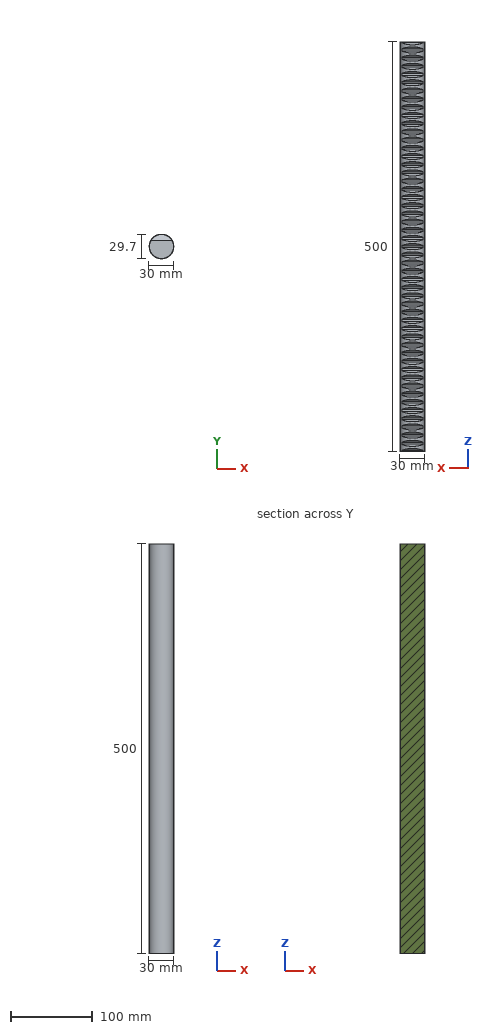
import cadquery as cq
import math

rod_diameter = 30.0
rod_length = 500.0
rod_radius = rod_diameter / 2

tooth_pitch = 10.0
tooth_count = round(rod_length / tooth_pitch)
pressure_angle = math.radians(20.0)
module = tooth_pitch / math.pi
addendum = module
dedendum = 1.25 * module

tip_flat_depth = 0.3
tip_y = rod_radius - tip_flat_depth
pitch_line_y = tip_y - addendum
root_y = pitch_line_y - dedendum

tip_half_width = tooth_pitch / 4 - addendum * math.tan(pressure_angle)
root_half_width = tooth_pitch / 4 + dedendum * math.tan(pressure_angle)


def rod_body():
    return cq.Workplane("XY").circle(rod_radius).extrude(rod_length)


def toothed_side_profile():
    """Slab across the rod: clear of its -Y side, shaped into rack teeth on +Y."""
    back_y = -rod_diameter
    outline = [(back_y, 0), (root_y, 0)]
    for index in range(tooth_count):
        center_z = (index + 0.5) * tooth_pitch
        outline += [
            (root_y, center_z - root_half_width),
            (tip_y, center_z - tip_half_width),
            (tip_y, center_z + tip_half_width),
            (root_y, center_z + root_half_width),
        ]
    outline += [(root_y, rod_length), (back_y, rod_length)]
    slab_half_width = rod_diameter
    return cq.Workplane("YZ").polyline(outline).close().extrude(slab_half_width, both=True)


result = rod_body().intersect(toothed_side_profile())